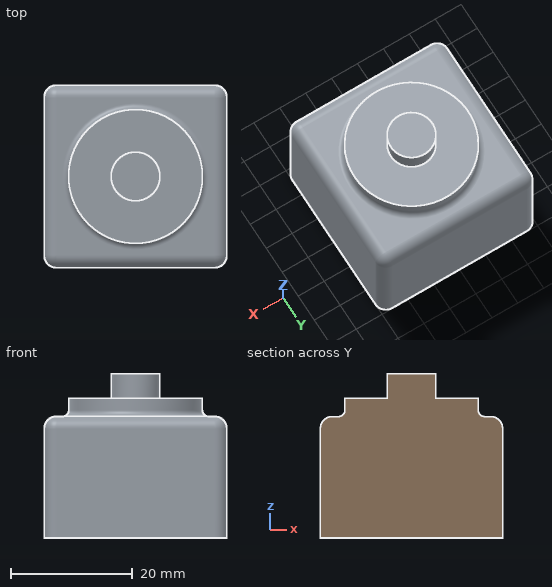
import cadquery as cq

block_side = 30.0
block_height = 20.0
edge_radius = 2.0

collar_diameter = 22.0
collar_height = 3.0
collar_fillet = 1.0

total_height = 27.0
pin_diameter = 8.0
collar_top = block_height + collar_height


def make_block():
    """Square block with rounded upright and top edges and a sharp bottom."""
    block = cq.Workplane("XY").rect(block_side, block_side).extrude(block_height)
    return block.edges("|Z or >Z").fillet(edge_radius)


def make_collar():
    """Collar whose concave fillet flares out onto the block's top face."""
    radius = collar_diameter / 2
    fillet_top = block_height + collar_fillet
    flare_radius = radius + collar_fillet
    root = block_height - edge_radius
    profile = (
        cq.Workplane("XZ")
        .moveTo(0, root)
        .lineTo(flare_radius, root)
        .lineTo(flare_radius, block_height)
        .radiusArc((radius, fillet_top), collar_fillet)
        .lineTo(radius, collar_top)
        .lineTo(0, collar_top)
        .close()
    )
    return profile.revolve(360, (0, 0, 0), (0, 1, 0))


def make_pin():
    """Plain cylindrical pin standing on the collar."""
    pin_base = cq.Workplane("XY").workplane(offset=block_height)
    return pin_base.circle(pin_diameter / 2).extrude(total_height - block_height)


result = make_block().union(make_collar()).union(make_pin())